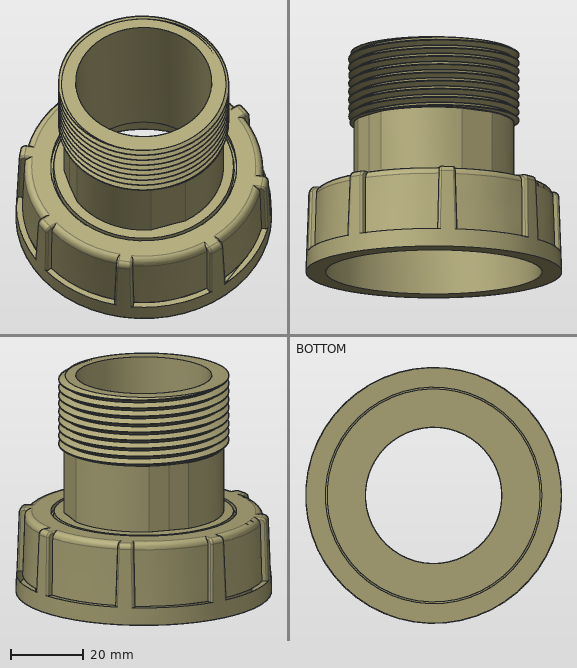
import cadquery as cq
import math

nut_height = 23.0
flange_radius = 35.46
flange_height = 5.0
nut_draft = 2.0
panel_radius = 33.6
panel_fillet = 2.0
rib_count = 8
rib_first_angle = 17.5
rib_width = 5.3
rib_draft = 1.5
rib_fillet = 1.5
rib_edge_fillet = 0.6
lip_hole_radius = 25.75
nut_bore_radius = 30.0

total_height = 62.05
bore_radius = 18.85
neck_radius = 22.15
side_flat_width = 10.0
parting_flat_width = 11.5
parting_draft = 2.0
collar_top_radius = 24.85
collar_bottom_radius = 25.1
collar_height = 1.5
shoulder_radius = 29.5
shoulder_thickness = 3.0
shoulder_draft = 3.0

thread_length = 20.0
thread_pitch = 25.4 / 11
thread_root_radius = 21.8
thread_crest_radius = 23.6
thread_crest_width = 0.25
thread_root_gap = 0.08
thread_embed = 0.05
thread_phase = 0.71
thread_spare_turns = 2
thread_bottom = total_height - thread_length


def slope_drop(length, angle):
    """Height lost along a length by a slope of the given angle."""
    return length * math.tan(math.radians(angle))


def revolve_profile(points):
    """Revolve a closed (radius, height) outline about the Z axis."""
    return cq.Workplane("XZ").polyline(points).close().revolve(360, (0, 0), (0, 1))


def cylinder(radius, bottom, top):
    return cq.Workplane("XY").workplane(offset=bottom).circle(radius).extrude(top - bottom)


def drafted_cone(bottom_radius, bottom, top):
    """A plug that narrows upwards by the draft of the nut."""
    top_radius = bottom_radius - slope_drop(top - bottom, nut_draft)
    return revolve_profile([(0, bottom), (bottom_radius, bottom), (top_radius, top), (0, top)])


def make_rib(angle):
    """A grip rib that follows the outer cone, rounded at its top and narrowing upwards."""
    inner_radius = panel_radius - 2 * panel_fillet
    rib_length = flange_radius + rib_width - inner_radius
    bar = (
        cq.Workplane("XY")
        .workplane(offset=flange_height)
        .center(inner_radius + rib_length / 2, 0)
        .rect(rib_length, rib_width)
        .extrude(nut_height - flange_height, taper=rib_draft)
        .rotate((0, 0, 0), (0, 0, 1), angle)
    )
    envelope = drafted_cone(flange_radius, 0, nut_height).faces(">Z").edges().fillet(rib_fillet)
    rib = bar.intersect(envelope)
    middle_height = (flange_height + nut_height) / 2
    side_edges = [
        edge
        for edge in rib.edges().vals()
        if math.hypot(edge.Center().x, edge.Center().y) > panel_radius
        and abs(edge.Center().z - middle_height) < rib_fillet
    ]
    return rib.newObject(side_edges).fillet(rib_edge_fillet)


def make_nut():
    panels = drafted_cone(panel_radius, flange_height, nut_height).faces(">Z").edges().fillet(panel_fillet)
    nut = drafted_cone(flange_radius, 0, flange_height).union(panels)
    for i in range(rib_count):
        nut = nut.union(make_rib(rib_first_angle + i * 360 / rib_count))
    nut = nut.cut(cylinder(lip_hole_radius, 0, nut_height))
    return nut.cut(nut_cavity())


def shoulder_top(radius):
    """Height of the sloping shoulder top at a radius."""
    return nut_height - collar_height - slope_drop(radius - collar_bottom_radius, shoulder_draft)


def nut_cavity():
    """The room inside the nut, its ceiling resting on the sloping shoulder."""
    lip_underside = shoulder_top(lip_hole_radius)
    return revolve_profile([
        (0, 0),
        (nut_bore_radius, 0),
        (nut_bore_radius, shoulder_top(nut_bore_radius)),
        (lip_hole_radius, lip_underside),
        (0, lip_underside),
    ])


def make_shoulder():
    bottom = shoulder_top(shoulder_radius) - shoulder_thickness
    return revolve_profile([
        (0, bottom),
        (shoulder_radius, bottom),
        (shoulder_radius, shoulder_top(shoulder_radius)),
        (collar_bottom_radius, shoulder_top(collar_bottom_radius)),
        (collar_top_radius, nut_height),
        (0, nut_height + slope_drop(collar_top_radius, shoulder_draft)),
    ])


def make_neck():
    """A round neck with plain flats on the X sides and ridged flats on the Y sides."""
    side_x = math.sqrt(neck_radius**2 - (side_flat_width / 2) ** 2)
    edge_x = parting_flat_width / 2
    edge_y = math.sqrt(neck_radius**2 - edge_x**2)
    ridge_y = edge_y + slope_drop(edge_x, parting_draft)
    side_y = edge_y - slope_drop(side_x - edge_x, parting_draft)
    flats = (
        cq.Workplane("XY")
        .polyline([
            (side_x, -side_y),
            (side_x, side_y),
            (0, ridge_y),
            (-side_x, side_y),
            (-side_x, -side_y),
            (0, -ridge_y),
        ])
        .close()
        .extrude(thread_bottom)
    )
    return cylinder(neck_radius, nut_height - collar_height, thread_bottom).intersect(flats)


def make_ridge():
    """A helical ridge of whole turns, closed by four helicoid sides and two end caps."""
    start = thread_bottom + (thread_phase - thread_spare_turns) * thread_pitch
    turns = math.ceil(thread_length / thread_pitch) + 2 * thread_spare_turns
    height = turns * thread_pitch
    half_root = (thread_pitch - thread_root_gap) / 2
    half_crest = thread_crest_width / 2
    inner_radius = thread_root_radius - thread_embed
    corners = [
        (inner_radius, start - half_root),
        (thread_crest_radius, start - half_crest),
        (thread_crest_radius, start + half_crest),
        (inner_radius, start + half_root),
    ]
    helices = [
        cq.Wire.makeHelix(thread_pitch, height, radius).translate(cq.Vector(0, 0, z))
        for radius, z in corners
    ]
    faces = [
        cq.Face.makeRuledSurface(helix, following)
        for helix, following in zip(helices, helices[1:] + helices[:1])
    ]
    for rise in (0, height):
        outline = [cq.Vector(radius, 0, z + rise) for radius, z in corners]
        faces.append(cq.Face.makeFromWires(cq.Wire.makePolygon(outline, close=True)))
    return cq.Workplane(cq.Solid.makeSolid(cq.Shell.makeShell(faces)).fix())


def make_thread():
    """A threaded length of core, cut from a longer one so that both ends are flush."""
    spare_length = thread_spare_turns * thread_pitch
    core = cylinder(thread_root_radius, thread_bottom - spare_length, total_height + 2 * spare_length)
    trim = cylinder(thread_crest_radius + thread_pitch, thread_bottom, total_height)
    return core.union(make_ridge()).intersect(trim)


def make_nipple():
    body = make_shoulder().union(make_neck()).union(make_thread())
    return body.cut(cylinder(bore_radius, 0, total_height))


nut = make_nut()
nipple = make_nipple()
result = cq.Compound.makeCompound([nut.val(), nipple.val()])